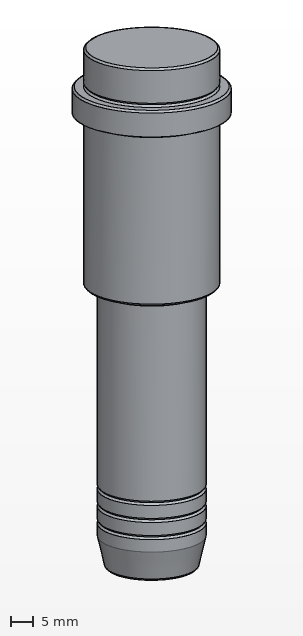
import cadquery as cq

total_length = 120.0
body_radius = 15.0
flange_radius = 17.5
shank_radius = 12.0
tip_radius = 10.0
edge = 0.5

taper_top = 7.2
body_bottom = 65.0
flange_bottom = 105.0
flange_top = 111.0

first_groove = 10.5
groove_pitch = 4.0
groove_count = 3


def revolve_profile(points):
    """Revolve (radius, height) points, closed along the axis, about Z."""
    axis_points = [(0, points[-1][1]), (0, points[0][1])]
    outline = cq.Workplane("XZ").polyline(points + axis_points).close()
    return outline.revolve(360, (0, 0, 0), (0, 1, 0))


def chamfered_cylinder(radius, bottom, top):
    """Cylinder with the same chamfer on both end edges."""
    cylinder = cq.Workplane("XY").workplane(offset=bottom).circle(radius).extrude(top - bottom)
    return cylinder.faces("<Z or >Z").edges().chamfer(edge)


def v_groove(radius, height):
    """Ring-shaped cutter with 45 degree flanks meeting at the given height."""
    ring = [
        (radius - edge, height),
        (radius, height + edge),
        (flange_radius, height + edge),
        (flange_radius, height - edge),
        (radius, height - edge),
    ]
    return cq.Workplane("XZ").polyline(ring).close().revolve(360, (0, 0, 0), (0, 1, 0))


shank = revolve_profile([
    (tip_radius, 0),
    (tip_radius + edge, edge),
    (shank_radius, taper_top),
    (shank_radius, body_bottom),
])
for index in range(groove_count):
    shank = shank.cut(v_groove(shank_radius, first_groove + index * groove_pitch))
shank = shank.cut(v_groove(shank_radius, body_bottom - edge))

body = chamfered_cylinder(body_radius, body_bottom, total_length)
body = body.cut(v_groove(body_radius, flange_bottom - edge))
body = body.cut(v_groove(body_radius, flange_top + edge))

flange = cq.Workplane("XY").workplane(offset=flange_bottom).circle(flange_radius)
flange = flange.extrude(flange_top - flange_bottom).faces(">Z").edges().chamfer(edge)

result = shank.union(body).union(flange)